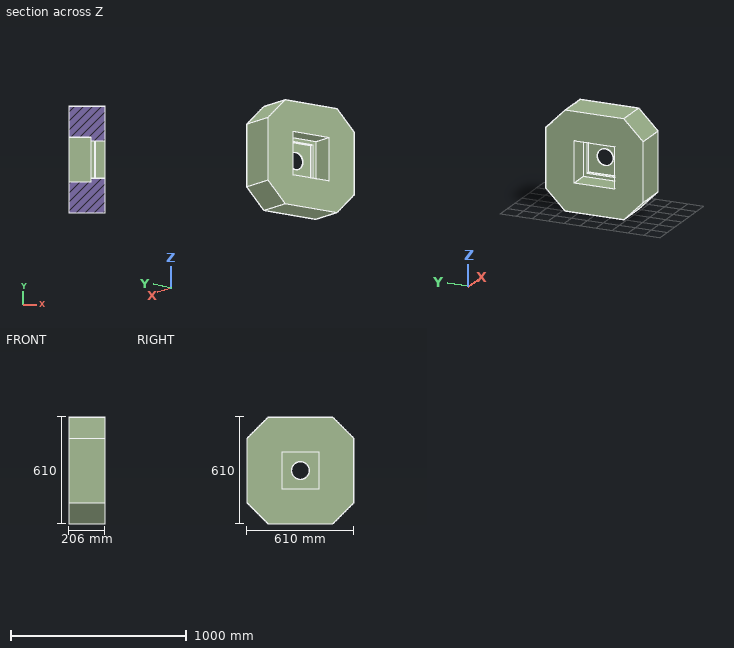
import cadquery as cq

side = 610.0
thickness = 206.0
corner_chamfer = 121.5

outer_recess_width = 254.0
outer_recess_depth = 125.5
inner_recess_width = 210.5
inner_recess_depth = 21.0

web_thickness = 5.0
hole_diameter = 100.0
back_recess_width = inner_recess_width

web_front = outer_recess_depth + inner_recess_depth
web_back = web_front + web_thickness


def square_prism(width, x_start, x_end):
    """Square prism centred on the X axis, between two X positions."""
    return cq.Workplane("YZ", origin=(x_start, 0, 0)).rect(width, width).extrude(x_end - x_start)


block = square_prism(side, 0, thickness).edges("|X").chamfer(corner_chamfer)

outer_recess = square_prism(outer_recess_width, 0, outer_recess_depth)
inner_recess = square_prism(inner_recess_width, outer_recess_depth, web_front)
back_recess = square_prism(back_recess_width, web_back, thickness)
hole = cq.Workplane("YZ").circle(hole_diameter / 2).extrude(thickness)

result = block.cut(outer_recess).cut(inner_recess).cut(back_recess).cut(hole)